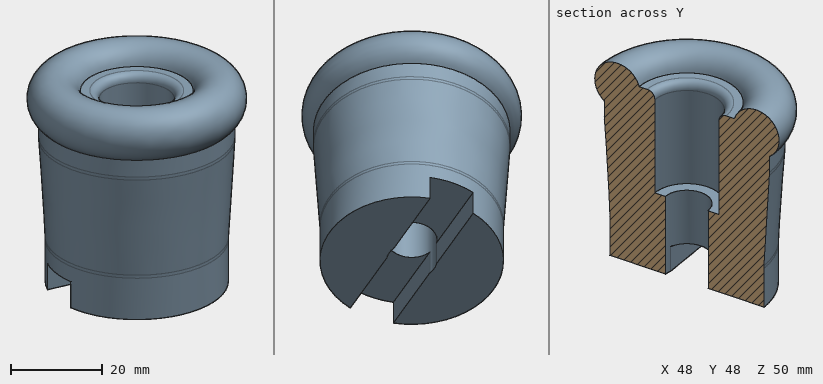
import cadquery as cq
import math

total_height = 50.0
lower_band_top = 10.0
taper_start = 10.75
taper_end = 34.35
upper_band_bottom = 35.1

base_radius = 20.05
collar_radius = 21.5

rim_tube_radius = 6.0
rim_center_radius = 18.0
rim_center_height = total_height - rim_tube_radius

seat_radius = 12.3
bore_radius = 8.25
bore_lip_radius = 2.0
bore_floor_height = 20.0
through_hole_radius = 5.5

slot_width = 10.5
slot_height = 6.3


def rim_rise(radius):
    """Height of the rim section above or below its center at a given radius."""
    return math.sqrt(rim_tube_radius**2 - (radius - rim_center_radius) ** 2)


collar_top = rim_center_height - rim_rise(collar_radius)
seat_height = rim_center_height + rim_rise(seat_radius)

lower_blend_height = taper_start - lower_band_top
upper_blend_height = upper_band_bottom - taper_end
effective_taper_height = taper_end - taper_start + (lower_blend_height + upper_blend_height) / 2
taper_slope = (collar_radius - base_radius) / effective_taper_height
taper_start_radius = base_radius + taper_slope * lower_blend_height / 2
taper_end_radius = collar_radius - taper_slope * upper_blend_height / 2


def revolve_about_z(profile):
    return profile.revolve(360, (0, 0, 0), (0, 1, 0))


def make_body():
    """Tapered body with its collar, rounded rim and flat seat, still solid inside."""
    profile = (
        cq.Workplane("XZ")
        .lineTo(base_radius, 0)
        .lineTo(base_radius, lower_band_top)
        .tangentArcPoint((taper_start_radius, taper_start), relative=False)
        .lineTo(taper_end_radius, taper_end)
        .tangentArcPoint((collar_radius, upper_band_bottom), relative=False)
        .lineTo(collar_radius, collar_top)
        .threePointArc((rim_center_radius, total_height), (seat_radius, seat_height))
        .lineTo(0, seat_height)
        .close()
    )
    return revolve_about_z(profile)


def make_bore():
    """Bore with a rounded mouth and a smaller hole through its floor."""
    profile = (
        cq.Workplane("XZ")
        .lineTo(through_hole_radius, 0)
        .lineTo(through_hole_radius, bore_floor_height)
        .lineTo(bore_radius, bore_floor_height)
        .lineTo(bore_radius, seat_height - bore_lip_radius)
        .radiusArc((bore_radius + bore_lip_radius, seat_height), bore_lip_radius)
        .lineTo(0, seat_height)
        .close()
    )
    return revolve_about_z(profile)


def make_slot():
    slot_length = 2 * collar_radius
    return cq.Workplane("XY").box(slot_width, slot_length, slot_height, centered=(True, True, False))


result = make_body().cut(make_bore()).cut(make_slot())